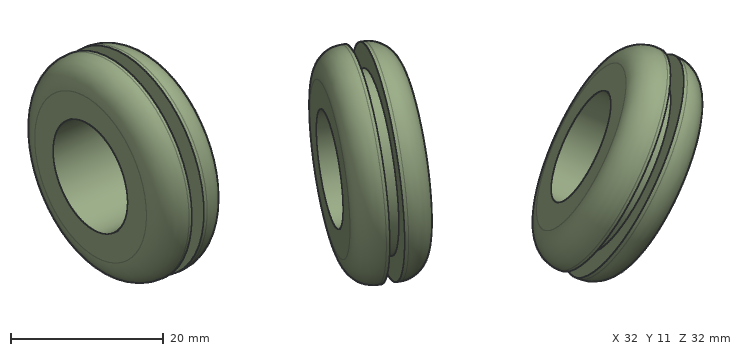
import cadquery as cq

outer_diameter = 32.0
bore_diameter = 16.0
groove_diameter = 25.0
total_width = 11.0
groove_width = 2.0
edge_radius = 4.0


def cylinder_along_y(diameter, length):
    """Solid cylinder on the Y axis, centred on the origin."""
    end_plane = cq.Workplane("XZ", origin=(0, length / 2, 0))
    return end_plane.circle(diameter / 2).extrude(length)


def rounded_body():
    """Disc with its two outer rims rounded."""
    disc = cylinder_along_y(outer_diameter, total_width)
    return disc.faces("<Y or >Y").edges().fillet(edge_radius)


def groove_ring():
    """Ring of material removed to leave the panel groove."""
    outside = cylinder_along_y(outer_diameter, groove_width)
    return outside.cut(cylinder_along_y(groove_diameter, groove_width))


bore = cylinder_along_y(bore_diameter, total_width)
result = rounded_body().cut(groove_ring()).cut(bore)